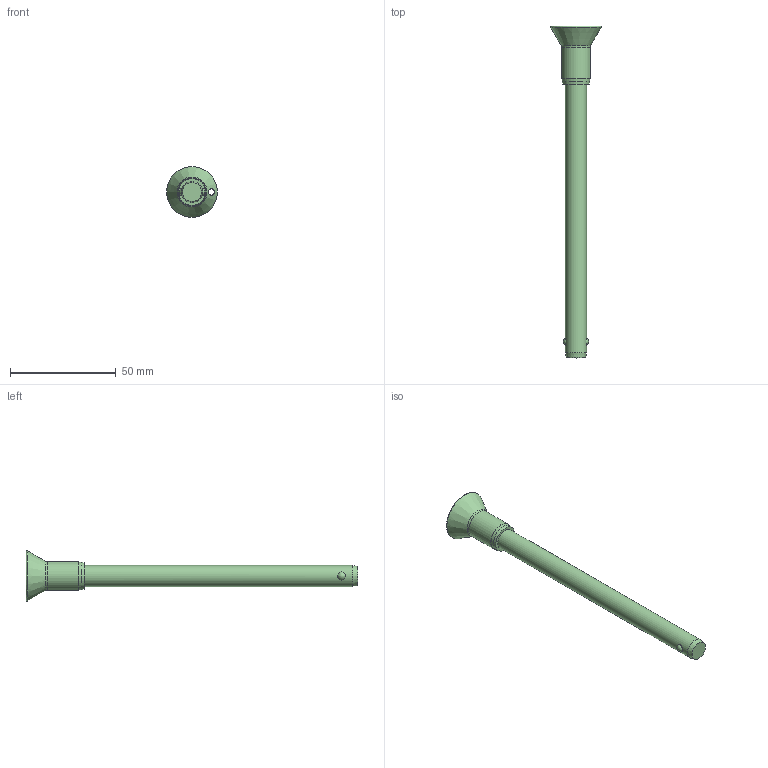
import cadquery as cq
import math


total_length = 157.1
flare_corner = 9.5
sleeve_end = 24.7
taper_break = 26.2
collar_end = 27.5

head_radius = 12.0
sleeve_radius = 6.8
collar_start_radius = 6.65
collar_break_radius = 6.5
collar_end_radius = 6.3
pin_radius = 5.0

rim_round = 0.5
flare_blend_radius = 1.9
tip_taper_length = 2.5
tip_taper_depth = 0.5

lanyard_hole_diameter = 3.0
lanyard_hole_offset = 9.2

ball_radius = 2.0
ball_reach = 6.0
ball_to_tip = 7.8

flare_angle = math.atan2(head_radius - sleeve_radius, flare_corner - rim_round)
blend_tangent = flare_blend_radius * math.tan(flare_angle / 2)
blend_on_flare = (
    sleeve_radius + blend_tangent * math.sin(flare_angle),
    -(flare_corner - blend_tangent * math.cos(flare_angle)),
)
blend_on_sleeve = (sleeve_radius, -(flare_corner + blend_tangent))


def make_turned_body():
    """Head, sleeve, collar and pin as one solid of revolution."""
    profile = (
        cq.Workplane("XY")
        .lineTo(head_radius - rim_round, 0)
        .radiusArc((head_radius, -rim_round), rim_round)
        .lineTo(*blend_on_flare)
        .radiusArc(blend_on_sleeve, -flare_blend_radius)
        .lineTo(sleeve_radius, -sleeve_end)
        .lineTo(collar_start_radius, -sleeve_end)
        .lineTo(collar_break_radius, -taper_break)
        .lineTo(collar_end_radius, -collar_end)
        .lineTo(pin_radius, -collar_end)
        .lineTo(pin_radius, -(total_length - tip_taper_length))
        .lineTo(pin_radius - tip_taper_depth, -total_length)
        .lineTo(0, -total_length)
        .close()
    )
    return profile.revolve(360, (0, 0, 0), (0, 1, 0))


def make_lanyard_hole():
    """Drill running along -Y through the flare, beside the sleeve."""
    return (
        cq.Workplane("XZ")
        .center(lanyard_hole_offset, 0)
        .circle(lanyard_hole_diameter / 2)
        .extrude(flare_corner)
    )


def make_ball(side):
    """Locking ball protruding from the pin; side is +1 or -1 along X."""
    center_x = side * (ball_reach - ball_radius)
    center_y = ball_to_tip - total_length
    return cq.Workplane("XY").sphere(ball_radius).translate((center_x, center_y, 0))


result = make_turned_body().cut(make_lanyard_hole())
for side in (-1, 1):
    result = result.union(make_ball(side))